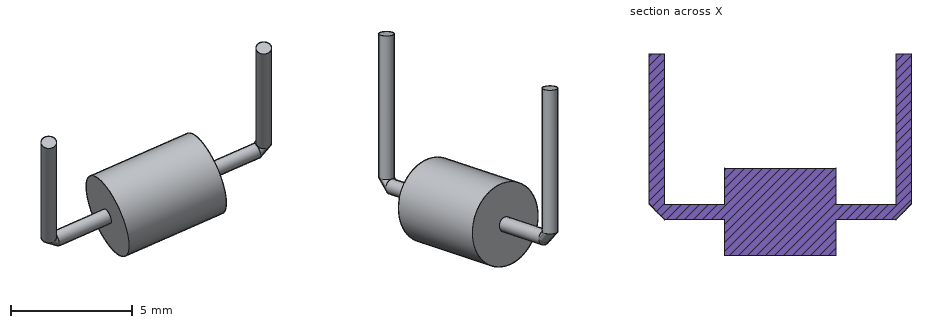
import cadquery as cq
import math

overall_span = 10.8
overall_height = 8.3
bead_diameter = 3.61
bead_length = 4.6
wire_diameter = 0.65

bead_radius = bead_diameter / 2
wire_radius = wire_diameter / 2
tip_height = overall_height - bead_radius
upright_y = overall_span / 2 - wire_radius
bend_y = upright_y - wire_radius
bend_z = wire_radius


def cylinder_along_y(radius, length):
    """Cylinder on the Y axis, centred on the origin."""
    return cq.Workplane("XZ", origin=(0, length / 2, 0)).circle(radius).extrude(length)


def make_bend():
    """Straight 45-degree bend on the +Y side, joining the two round wire ends.

    An elliptical bar along (0, 1, 1) meets the planes y = bend_y and
    z = bend_z in circles of the wire diameter; a block trims it there.
    """
    bar_plane = cq.Plane(origin=(0, bend_y, 0), xDir=(1, 0, 0), normal=(0, 1, 1))
    bar = (
        cq.Workplane(bar_plane)
        .ellipse(wire_radius, wire_radius / math.sqrt(2))
        .extrude(wire_diameter * 2, both=True)
    )
    trim_block = cq.Workplane("XY").box(wire_diameter * 2, wire_diameter, wire_diameter)
    return bar.intersect(trim_block.translate((0, upright_y, 0)))


def make_upright():
    """Vertical wire on the +Y side, from the bend to the tip."""
    start = cq.Workplane("XY", origin=(0, upright_y, bend_z))
    return start.circle(wire_radius).extrude(tip_height - bend_z)


bead = cylinder_along_y(bead_radius, bead_length)
axial_wire = cylinder_along_y(wire_radius, 2 * bend_y)
bent_end = make_bend().union(make_upright())

leads = axial_wire.union(bent_end).union(bent_end.mirror("XZ"))

result = bead.union(leads)